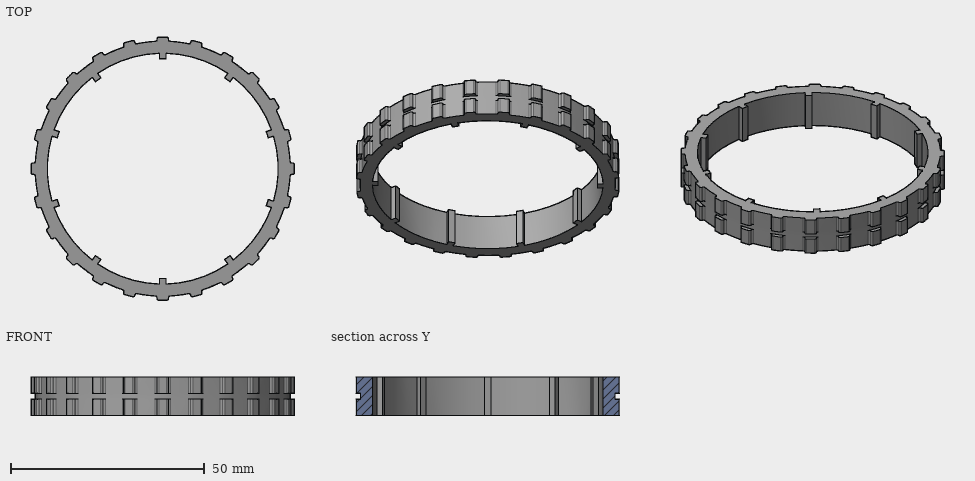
import cadquery as cq

outer_diameter = 68.0
height = 10.0
tip_radius = outer_diameter / 2
bore_radius = 29.8

tooth_count = 24
tooth_width = 3.0
tooth_height = 1.0
tooth_fillet = 0.5
groove_width = 1.5
root_radius = tip_radius - tooth_height

key_count = 10
key_width = 1.8
key_tip_radius = 28.35

embed = 0.7


def disc(radius):
    return cq.Workplane("XY").circle(radius).extrude(height)


def radial_bars(count, inner_radius, outer_radius, width):
    """Full-height bars spaced evenly around Z, the first one on +Y."""
    return (
        cq.Workplane("XY")
        .polarArray((inner_radius + outer_radius) / 2, 90, 360, count)
        .rect(outer_radius - inner_radius, width)
        .extrude(height)
    )


def toothed_disc():
    """Disc with straight teeth, rounded at the tips and at the roots."""
    teeth = radial_bars(tooth_count, root_radius - embed, tip_radius, tooth_width)
    return disc(root_radius).union(teeth).edges("|Z").fillet(tooth_fillet)


def tooth_groove():
    """Band at mid height that cuts the teeth down to the ring."""
    return (
        cq.Workplane("XY")
        .workplane(offset=(height - groove_width) / 2)
        .circle(tip_radius + embed)
        .circle(root_radius)
        .extrude(groove_width)
    )


def inner_keys():
    return radial_bars(key_count, key_tip_radius, bore_radius + embed, key_width)


result = toothed_disc().cut(tooth_groove()).cut(disc(bore_radius)).union(inner_keys())